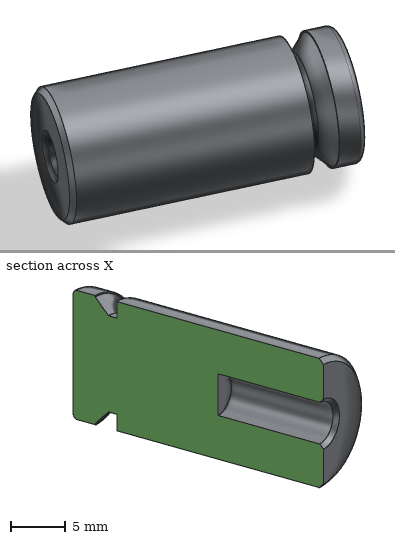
import cadquery as cq

length = 28.5
body_diameter = 13.0
groove_diameter = 9.7
edge_size = 0.5
head_length = 2.56
cone_end = 4.08
groove_end = 5.0
hole_diameter = 4.13
hole_mouth_diameter = 5.0
hole_depth = 11.97

body_radius = body_diameter / 2
groove_radius = groove_diameter / 2
hole_radius = hole_diameter / 2
mouth_radius = hole_mouth_diameter / 2
cone_radius = groove_radius + cone_end - head_length
mouth_depth = mouth_radius - hole_radius


def revolve_about_y(profile):
    return profile.close().revolve(360, (0, 0, 0), (0, 1, 0))


def make_pin():
    profile = (
        cq.Workplane("XY")
        .lineTo(body_radius - edge_size, 0)
        .lineTo(body_radius, edge_size)
        .lineTo(body_radius, length - groove_end)
        .lineTo(groove_radius, length - groove_end)
        .lineTo(groove_radius, length - cone_end)
        .lineTo(cone_radius, length - head_length)
        .lineTo(body_radius, length - head_length)
        .lineTo(body_radius, length - edge_size)
        .radiusArc((body_radius - edge_size, length), -edge_size)
        .lineTo(0, length)
    )
    return revolve_about_y(profile)


def make_hole():
    profile = (
        cq.Workplane("XY")
        .lineTo(mouth_radius, 0)
        .lineTo(hole_radius, mouth_depth)
        .lineTo(hole_radius, hole_depth)
        .lineTo(0, hole_depth)
    )
    return revolve_about_y(profile)


result = make_pin().cut(make_hole())